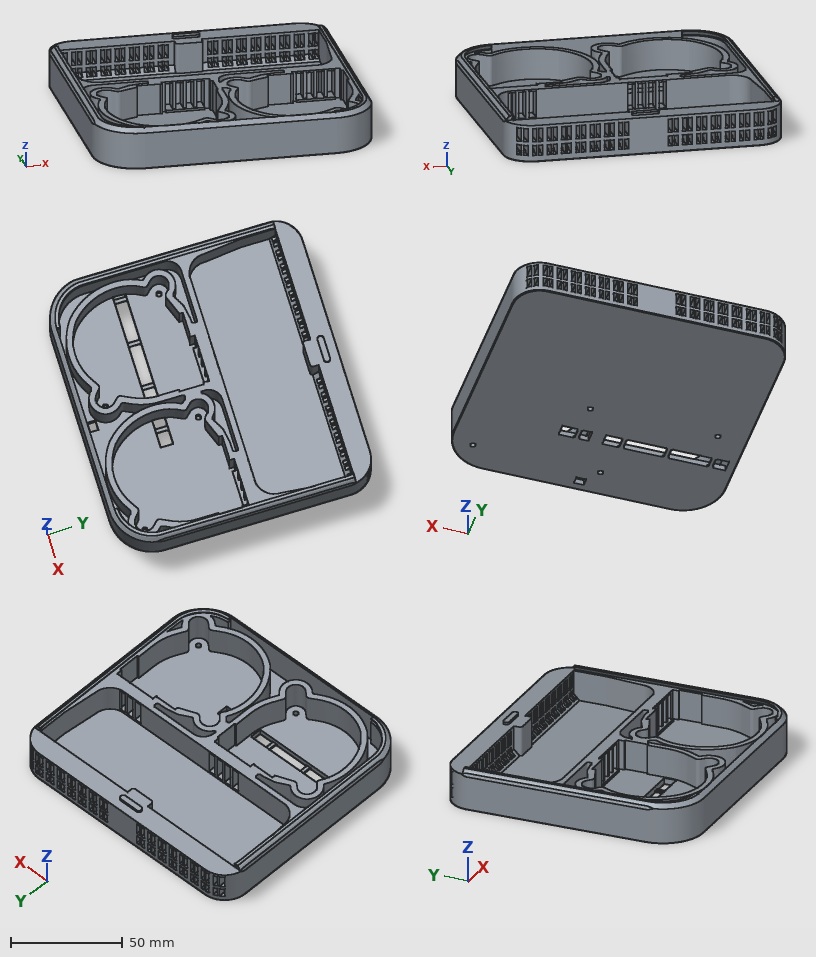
import cadquery as cq
import math

LENGTH = 128.0
DEPTH = 120.0
HEIGHT = 19.2
REAR_RADIUS = 12.8
FRONT_RADIUS = 20.0
FLOOR = 3.0
BOTTOM_CHAMFER = 0.4
LEFT, RIGHT = -LENGTH / 2, LENGTH / 2
FRONT, REAR = -DEPTH / 2, DEPTH / 2

DECK_TOP = 17.2
DECK_DEPTH = 10.2
RIM_START = REAR - DECK_DEPTH
FRONT_BEVEL = 1.7
FRONT_BEVEL_TOP = 18.8
FRONT_LIP_BEVEL = 0.6
FRONT_RIM_WIDTH = 2.3
SIDE_RIM_WIDTH = 4.0
RIM_UNDERCUT = 1.4
SIDE_BEVEL = ((0.0, 16.3), (0.6, 17.8), (1.35, 18.5), (2.4, HEIGHT))

PIT_X = LENGTH / 2 - SIDE_RIM_WIDTH
PIT_FRONT_Y = 6.7
PIT_TAPER_START_Y = 33.8
PIT_CORNER_X, PIT_CORNER_Y = 58.2, 16.0
PIT_CORNER_MID_X, PIT_CORNER_MID_Y = 55.8, 9.5
PIT_FLAT_X = 50.4
RAMP_TOP = 5.8
RAMP_RUN = 2.8

BLOCK_WIDTH = 12.5
BLOCK_FRONT_Y = 46.1
BLOCK_RADIUS = 1.3
PEG_LENGTH = 12.5
PEG_WIDTH = 3.0
PEG_TOP = 18.2
PEG_Y = REAR - 5.9
PEG_CORNER = 1.4

GRILLE_PITCH = 6.62
GRILLE_COUNT = 8
GRILLE_FIRST_X = 11.4
SLOT_WIDTH = 1.8
SLOT_DIVIDER = 0.9
UPPER_ROW = (9.5, 15.6)
LOWER_ROW = (4.0, 7.7)
OUTER_SILL = 3.1
OUTER_SILL_DEPTH = 5.1

FAN_HOLES = ((-50.2, -7.8), (9.9, -7.8))
SCREW_DIAMETER = 2.4
SECOND_HOLE = (43.1, -38.4)
BOSS_RADIUS = 4.5
FAN_WALL = 3.0
FAN_WALL_INNER_CORNER = 1.3
SIDE_RELIEF, SIDE_RELIEF_HALF_LENGTH = 0.9, 5.6
INSIDE_REAR_STEP = ((15.2, 4.9), (15.2, 6.5), (26.1, 6.5))
OUTSIDE_REAR_STEP = ((13.3, 5.0), (19.2, 6.0))
OUTLET_LEFT, OUTLET_RIGHT, OUTLET_Y = 27.0, 49.0, 8.51
OUTLET_SLOTS = 4
OUTLET_SLOT_PITCH = 4.8
OUTLET_BAR = 1.4
OUTLET_SLOT_LEFT = 28.9
OUTLET_SILL_TOP = 4.0
OUTLET_SILL_DEPTH = 1.4
OUTLET_SLOT_TOP = 16.3

HOLLOW_REAR_Y = 3.78
HOLLOW_LENGTH = 31.1
HOLLOW_RADIUS = 6.4
HOLLOW_END_RADIUS = 0.9
HOLLOW_LOW_Y = -15.4
SECOND_HOLLOW_X = 2.5
SECOND_HOLLOW_Y = -4.1
GAP_LEFT, GAP_WIDTH, GAP_REAR_Y = 1.73, 12.8, -11.9
GAP_RADIUS = 0.9

CABLE_SPANS = ((-PIT_X, -2.2), (4.4, 18.4))
CABLE_Y, CABLE_WIDTH = -25.1, 5.9
RIB_FIRST_X, RIB_PITCH, RIB_COUNT = -53.0, 21.0, 4
RIB_WIDTH, RIB_FLARE, RIB_HEIGHT = 1.9, 0.6, 0.8
PORT_WIDTH, PORT_DEPTH, PORT_Y = 4.6, 3.8, -54.3


def box(x0, x1, y0, y1, z0, z1):
    return cq.Workplane("XY").box(x1 - x0, y1 - y0, z1 - z0, centered=False).translate((x0, y0, z0))


def outline(inset, z):
    """Rounded tray outline, moved inwards by the inset."""
    rear = REAR_RADIUS - inset
    front = FRONT_RADIUS - inset
    x, y0, y1 = RIGHT - inset, FRONT + inset, REAR - inset
    diagonal = 1 - math.sqrt(0.5)
    return (
        cq.Workplane("XY", origin=(0, 0, z))
        .moveTo(-x + front, y0)
        .lineTo(x - front, y0)
        .threePointArc((x - front * diagonal, y0 + front * diagonal), (x, y0 + front))
        .lineTo(x, y1 - rear)
        .threePointArc((x - rear * diagonal, y1 - rear * diagonal), (x - rear, y1))
        .lineTo(-x + rear, y1)
        .threePointArc((-x + rear * diagonal, y1 - rear * diagonal), (-x, y1 - rear))
        .lineTo(-x, y0 + front)
        .threePointArc((-x + front * diagonal, y0 + front * diagonal), (-x + front, y0))
        .close()
    )


def inside_rim(z):
    """Space inside the rim, from the given height up; the rim is thinner along the straight front."""
    height = HEIGHT - z
    straight_x = RIGHT - FRONT_RADIUS
    inside = outline(SIDE_RIM_WIDTH, z).extrude(height)
    return inside.union(box(-straight_x, straight_x, FRONT + FRONT_RIM_WIDTH, 0, z, HEIGHT))


def bevelled_layer(inset, bevel, z0, z1):
    """Layer of the rim whose edge slopes inwards by the bevel."""
    angle = math.degrees(math.atan(bevel / (z1 - z0)))
    return outline(inset, z0).extrude(z1 - z0, taper=angle)


def make_shell():
    """Solid tray with its lowered deck and bevelled rim, which is undercut like a dovetail."""
    shell = outline(0, 0).extrude(DECK_TOP).faces("<Z").edges().chamfer(BOTTOM_CHAMFER)
    rim = bevelled_layer(0, FRONT_BEVEL, DECK_TOP, FRONT_BEVEL_TOP)
    rim = rim.union(bevelled_layer(FRONT_BEVEL, FRONT_LIP_BEVEL, FRONT_BEVEL_TOP, HEIGHT))
    undercut_angle = math.degrees(math.atan(RIM_UNDERCUT / (HEIGHT - DECK_TOP)))
    undercut = outline(SIDE_RIM_WIDTH - RIM_UNDERCUT, DECK_TOP)
    rim = rim.cut(undercut.extrude(HEIGHT - DECK_TOP, taper=undercut_angle))
    rim = rim.cut(inside_rim(DECK_TOP))
    rim = rim.cut(box(LEFT, RIGHT, RIM_START, REAR, DECK_TOP, HEIGHT))
    shell = shell.union(rim)
    facets = [(LEFT + inset, z) for inset, z in SIDE_BEVEL]
    waste = (
        cq.Workplane("XZ", origin=(0, REAR, 0))
        .polyline(facets + [(LEFT, HEIGHT)])
        .close()
        .extrude(DEPTH)
    )
    return shell.cut(waste).cut(waste.mirror("YZ"))


def rear_compartment():
    """Cutter for the rear compartment, with the ramp and latch block left standing."""
    pit = (
        cq.Workplane("XY", origin=(0, 0, FLOOR))
        .moveTo(-PIT_X, RIM_START)
        .lineTo(-PIT_X, PIT_TAPER_START_Y)
        .lineTo(-PIT_CORNER_X, PIT_CORNER_Y)
        .threePointArc((-PIT_CORNER_MID_X, PIT_CORNER_MID_Y), (-PIT_FLAT_X, PIT_FRONT_Y))
        .lineTo(PIT_FLAT_X, PIT_FRONT_Y)
        .threePointArc((PIT_CORNER_MID_X, PIT_CORNER_MID_Y), (PIT_CORNER_X, PIT_CORNER_Y))
        .lineTo(PIT_X, PIT_TAPER_START_Y)
        .lineTo(PIT_X, RIM_START)
        .close()
        .extrude(DECK_TOP - FLOOR)
    )
    ramp = (
        cq.Workplane("YZ", origin=(-PIT_X, 0, 0))
        .polyline([(RIM_START, FLOOR), (RIM_START, RAMP_TOP), (RIM_START - RAMP_RUN, FLOOR)])
        .close()
        .extrude(2 * PIT_X)
    )
    half = BLOCK_WIDTH / 2
    block = box(-half, half, BLOCK_FRONT_Y, RIM_START, FLOOR, DECK_TOP)
    block = block.edges("|Z and <Y").fillet(BLOCK_RADIUS)
    return pit.cut(ramp).cut(block)


def grille():
    """Cutter for the paired slots through the rear wall."""
    offset = (SLOT_WIDTH + SLOT_DIVIDER) / 2
    windows = [GRILLE_FIRST_X + index * GRILLE_PITCH for index in range(GRILLE_COUNT)]
    centres = [side * x + shift for side in (-1, 1) for x in windows for shift in (-offset, offset)]

    def slot_row(bottom, top, depth):
        middle = (bottom + top) / 2
        return (
            cq.Workplane("XZ", origin=(0, REAR, 0))
            .pushPoints([(x, middle) for x in centres])
            .rect(SLOT_WIDTH, top - bottom)
            .extrude(depth)
        )

    wall_depth = DECK_DEPTH + RAMP_RUN
    lower = slot_row(*LOWER_ROW, wall_depth)
    outer_sill = slot_row(OUTER_SILL, LOWER_ROW[1], OUTER_SILL_DEPTH)
    return lower.union(outer_sill).union(slot_row(*UPPER_ROW, wall_depth))


def make_peg():
    half = PEG_LENGTH / 2
    peg = box(-half, half, PEG_Y - PEG_WIDTH / 2, PEG_Y + PEG_WIDTH / 2, FLOOR, PEG_TOP)
    return peg.edges("|Z").fillet(PEG_CORNER)


def fan_outline(hole, rear_step):
    """Outlet, volute and two screw bosses of a fan, drawn from its first hole.

    The rear_step points shape the wall between the first boss and the outlet.
    """
    diagonal = BOSS_RADIUS * math.sqrt(0.5)
    boss_x, boss_y = SECOND_HOLE
    return (
        cq.Workplane("XY", origin=(hole[0], hole[1], FLOOR))
        .moveTo(OUTLET_LEFT, OUTLET_Y)
        .lineTo(OUTLET_RIGHT, OUTLET_Y)
        .lineTo(OUTLET_RIGHT, -14.8)
        .threePointArc((48.4, -21.2), (46.7, -26.2))
        .lineTo(44.4, -31.0)
        .threePointArc((44.0, -32.3), (44.5, -33.4))
        .lineTo(boss_x + diagonal, boss_y + diagonal)
        .threePointArc((boss_x + diagonal, boss_y - diagonal), (boss_x - diagonal, boss_y - diagonal))
        .lineTo(38.1, -40.0)
        .threePointArc((37.0, -39.5), (35.7, -40.0))
        .lineTo(33.4, -41.5)
        .threePointArc((19.8, -45.5), (5.0, -40.5))
        .threePointArc((-2.8, -28.8), (-4.5, -17.7))
        .threePointArc((-4.0, -13.7), (-2.8, -10.0))
        .lineTo(-1.3, -6.9)
        .threePointArc((-1.0, -5.8), (-1.7, -4.7))
        .lineTo(-diagonal, -diagonal)
        .threePointArc((-diagonal, diagonal), (diagonal, diagonal))
        .lineTo(4.5, 1.9)
        .threePointArc((5.9, 1.4), (7.3, 1.8))
        .polyline(rear_step, includeCurrent=True)
        .lineTo(OUTLET_LEFT, 6.1)
        .close()
    )


def fan_chamber(hole):
    """Cutter for a fan chamber, its outlet slots and its screw holes."""
    hole_x, hole_y = hole
    mouth_y = hole_y + OUTLET_Y
    sill_left = hole_x + OUTLET_SLOT_LEFT
    sill_length = OUTLET_SLOTS * OUTLET_SLOT_PITCH - OUTLET_BAR
    sill = box(
        sill_left, sill_left + sill_length, mouth_y - OUTLET_SILL_DEPTH, mouth_y, FLOOR, OUTLET_SILL_TOP
    )
    side_x = hole_x + OUTLET_RIGHT
    relief_y0, relief_y1 = hole_y - SIDE_RELIEF_HALF_LENGTH, hole_y + SIDE_RELIEF_HALF_LENGTH
    relief = box(side_x, side_x + SIDE_RELIEF, relief_y0, relief_y1, FLOOR, DECK_TOP)
    cutter = fan_outline(hole, INSIDE_REAR_STEP).extrude(DECK_TOP - FLOOR).cut(sill).union(relief)
    for index in range(OUTLET_SLOTS):
        x0 = sill_left + index * OUTLET_SLOT_PITCH
        x1 = x0 + OUTLET_SLOT_PITCH - OUTLET_BAR
        cutter = cutter.union(box(x0, x1, mouth_y, PIT_FRONT_Y, OUTLET_SILL_TOP, OUTLET_SLOT_TOP))
    centres = [hole, (hole_x + SECOND_HOLE[0], hole_y + SECOND_HOLE[1])]
    screws = cq.Workplane("XY").pushPoints(centres).circle(SCREW_DIAMETER / 2).extrude(DECK_TOP)
    return cutter.union(screws)


def fan_body(hole):
    """Fan chamber filled solid out to the outside of its wall, with rounded inner corners."""
    body = fan_outline(hole, OUTSIDE_REAR_STEP).offset2D(FAN_WALL + FAN_WALL_INNER_CORNER)
    return body.offset2D(-FAN_WALL_INNER_CORNER).extrude(DECK_TOP - FLOOR)


def hollows():
    """Cutter for the space between the fan walls and the rim."""
    fans = fan_body(FAN_HOLES[0]).union(fan_body(FAN_HOLES[1]))

    def crescent(left, front):
        space = box(left, left + HOLLOW_LENGTH, front, HOLLOW_REAR_Y, FLOOR, DECK_TOP)
        space = space.edges("|Z and >Y and <X").fillet(HOLLOW_RADIUS).cut(fans)
        return space.edges("|Z").edges(">X").fillet(HOLLOW_END_RADIUS)

    gap = box(GAP_LEFT, GAP_LEFT + GAP_WIDTH, HOLLOW_LOW_Y, GAP_REAR_Y, FLOOR, DECK_TOP).cut(fans)
    gap = gap.edges("|Z").edges(">Y").fillet(GAP_RADIUS)
    low = box(-PIT_X, PIT_X, FRONT, HOLLOW_LOW_Y, FLOOR, DECK_TOP)
    low = low.intersect(inside_rim(FLOOR)).cut(fans)
    first = crescent(-PIT_X, HOLLOW_LOW_Y)
    second = crescent(SECOND_HOLLOW_X, SECOND_HOLLOW_Y)
    return low.union(gap).union(first).union(second)


def cable_opening():
    """Cutter for the floor slot, which keeps thin flared ribs at its bottom."""
    y0, y1 = CABLE_Y - CABLE_WIDTH / 2, CABLE_Y + CABLE_WIDTH / 2
    cutter = cq.Workplane("XY")
    for left, right in CABLE_SPANS:
        cutter = cutter.union(box(left, right, y0, y1, 0, FLOOR))
    half = RIB_WIDTH / 2
    wide = half + RIB_FLARE
    for index in range(RIB_COUNT):
        rib = (
            cq.Workplane("XY", origin=(RIB_FIRST_X + index * RIB_PITCH, 0, 0))
            .moveTo(-wide, y0)
            .lineTo(wide, y0)
            .lineTo(half, y0 + RIB_FLARE)
            .lineTo(half, y1 - RIB_FLARE)
            .lineTo(wide, y1)
            .lineTo(-wide, y1)
            .lineTo(-half, y1 - RIB_FLARE)
            .lineTo(-half, y0 + RIB_FLARE)
            .close()
            .extrude(RIB_HEIGHT)
        )
        cutter = cutter.cut(rib)
    return cutter


tray = make_shell().cut(rear_compartment())
tray = tray.cut(grille())
tray = tray.union(make_peg())
tray = tray.cut(hollows())
for fan_hole in FAN_HOLES:
    tray = tray.cut(fan_chamber(fan_hole))
tray = tray.cut(cable_opening())
tray = tray.cut(
    box(-PORT_WIDTH / 2, PORT_WIDTH / 2, PORT_Y - PORT_DEPTH / 2, PORT_Y + PORT_DEPTH / 2, 0, FLOOR)
)
result = tray